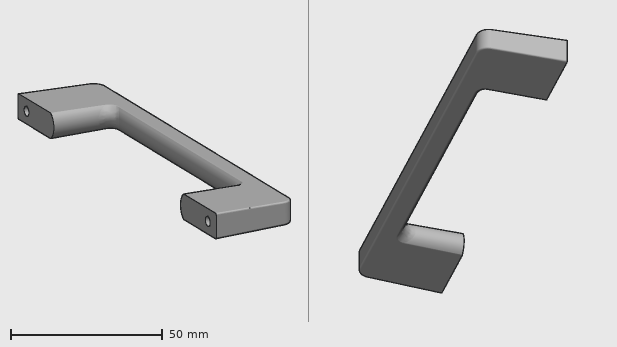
import cadquery as cq
import math

length = 140.0
depth = 30.0
foot_thickness = 9.0
back_thickness = 8.0
back_length = 137.9

opening_width = 89.3
grip_depth = 8.1
inner_round_radius = 5.6

outer_corner_radius = 4.2
inner_corner_radius = 5.0
rim_radius = 0.5

hole_spacing = 128.0
hole_diameter = 3.4
hole_depth = 14.0
drill_point_angle = 118.0

half_length = length / 2
grip_axis_y = depth - grip_depth + inner_round_radius
leg_axis_x = opening_width / 2 + inner_round_radius
stock_height = 2 * inner_round_radius


def block(x_min, x_max, y_min, y_max):
    """Box centred on the XY plane."""
    return (
        cq.Workplane("XY")
        .box(x_max - x_min, y_max - y_min, stock_height, centered=(False, False, True))
        .translate((x_min, y_min, 0))
    )


def tapered_blank():
    """Solid wedge whose width and thickness shrink towards the back, with round corners."""
    blank = (
        cq.Workplane("XZ")
        .rect(length, foot_thickness)
        .workplane(offset=-depth)
        .rect(back_length, back_thickness)
        .loft(ruled=True)
    )
    back_corners = cq.selectors.BoxSelector(
        (-length, depth / 2, -rim_radius), (length, 2 * depth, rim_radius)
    )
    return blank.edges(back_corners).fillet(outer_corner_radius)


def round_sided_frame():
    """Grip and two legs, each ending in a half-round on the side of the opening."""
    frame = block(-half_length, half_length, grip_axis_y, depth)
    grip_round = cq.Workplane("YZ").center(grip_axis_y, 0).circle(inner_round_radius)
    frame = frame.union(grip_round.extrude(leg_axis_x, both=True))
    leg = block(leg_axis_x, half_length, 0, depth)
    leg_round = cq.Workplane("XZ").center(leg_axis_x, 0).circle(inner_round_radius)
    leg = leg.union(leg_round.extrude(-grip_axis_y))
    return frame.union(leg).union(leg.mirror("YZ"))


def screw_hole(x):
    """Drilled hole with a conical end, entering from the mounting face."""
    radius = hole_diameter / 2
    point_length = radius / math.tan(math.radians(drill_point_angle / 2))
    return (
        cq.Workplane("XY")
        .polyline([(0, 0), (radius, 0), (radius, hole_depth), (0, hole_depth + point_length)])
        .close()
        .revolve(360, (0, 0), (0, 1))
        .translate((x, 0, 0))
    )


handle = tapered_blank().intersect(round_sided_frame())

mitre_x = opening_width / 2
mitre_y = depth - grip_depth
for side in (-1, 1):
    mitre = cq.selectors.NearestToPointSelector((side * mitre_x, mitre_y, 0))
    handle = handle.edges(mitre).fillet(inner_corner_radius)

handle = handle.faces(">Z or <Z").edges("not <Y").fillet(rim_radius)

for side in (-1, 1):
    handle = handle.cut(screw_hole(side * hole_spacing / 2))

result = handle